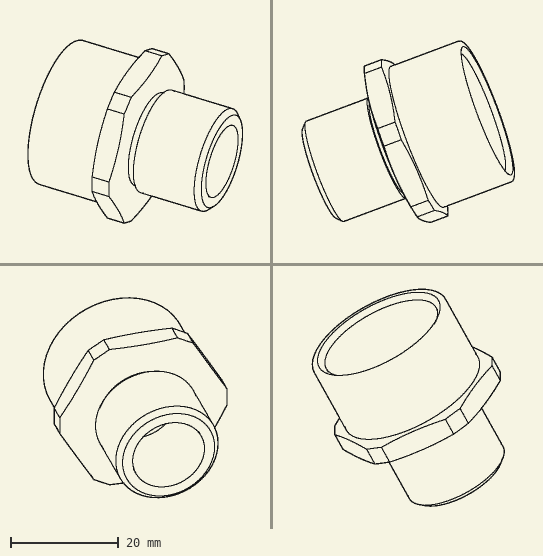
import cadquery as cq
import math

TOTAL_LENGTH = 33.5
HEX_START = 14.0
HEX_THICKNESS = 4.5
NECK_LENGTH = 1.5

SLEEVE_RADIUS = 14.0
SLEEVE_EDGE_FILLET = 0.5
BORE_RADIUS = 11.7
BORE_DEPTH = 16.0
BORE_MOUTH_RADIUS = 12.73
BORE_MOUTH_DEPTH = 1.0

HEX_SIDES = 6
HEX_ACROSS_FLATS = 30.0
HEX_ACROSS_CUT_CORNERS = 32.63
HEX_FACE_RADIUS = 14.5
HEX_CHAMFER_ANGLE = 15.0

NECK_RADIUS = 9.0
SPIGOT_RADIUS = 9.98
SPIGOT_CHAMFER = 1.0
THROUGH_HOLE_RADIUS = 7.0

HEX_END = HEX_START + HEX_THICKNESS
SPIGOT_START = HEX_END + NECK_LENGTH


def cylinder(start, end, radius):
    """Solid cylinder on the X axis between two stations."""
    return cq.Workplane("YZ", origin=(start, 0, 0)).circle(radius).extrude(end - start)


def turned(profile):
    """Solid of revolution about X from (station, radius) points."""
    return cq.Workplane("XY").polyline(profile).close().revolve(360, (0, 0, 0), (1, 0, 0))


def hex_prism(across_flats, turn):
    """Hexagonal prism of the collar, turned about X; flats face +Z and -Z at zero turn."""
    across_corners = across_flats / math.cos(math.pi / HEX_SIDES)
    outline = cq.Workplane("YZ", origin=(HEX_START, 0, 0)).polygon(HEX_SIDES, across_corners)
    prism = outline.extrude(HEX_THICKNESS)
    return prism.rotate((0, 0, 0), (1, 0, 0), turn)


def collar_envelope():
    """Double cone that chamfers both faces of the collar."""
    middle = HEX_START + HEX_THICKNESS / 2
    peak_radius = HEX_FACE_RADIUS + HEX_THICKNESS / 2 / math.tan(math.radians(HEX_CHAMFER_ANGLE))
    profile = [
        (HEX_START, 0),
        (HEX_START, HEX_FACE_RADIUS),
        (middle, peak_radius),
        (HEX_END, HEX_FACE_RADIUS),
        (HEX_END, 0),
    ]
    return turned(profile)


def collar():
    """Hexagon with its six corners cut flat and both faces chamfered."""
    half_side_angle = 180 / HEX_SIDES
    blank = hex_prism(HEX_ACROSS_FLATS, 0)
    blank = blank.intersect(hex_prism(HEX_ACROSS_CUT_CORNERS, half_side_angle))
    return blank.intersect(collar_envelope())


def bore():
    """Blind bore of the sleeve with its tapered mouth."""
    profile = [
        (0, 0),
        (0, BORE_MOUTH_RADIUS),
        (BORE_MOUTH_DEPTH, BORE_RADIUS),
        (BORE_DEPTH, BORE_RADIUS),
        (BORE_DEPTH, 0),
    ]
    return turned(profile)


sleeve = cylinder(0, HEX_START, SLEEVE_RADIUS).faces("<X").edges().fillet(SLEEVE_EDGE_FILLET)
neck = cylinder(HEX_END, SPIGOT_START, NECK_RADIUS)
spigot = cylinder(SPIGOT_START, TOTAL_LENGTH, SPIGOT_RADIUS).faces(">X").edges().chamfer(SPIGOT_CHAMFER)
through_hole = cylinder(0, TOTAL_LENGTH, THROUGH_HOLE_RADIUS)

result = sleeve.union(collar()).union(neck).union(spigot).cut(bore()).cut(through_hole)